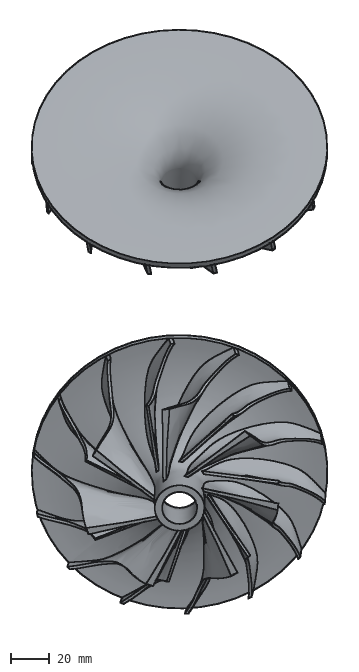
import cadquery as cq
import math

rim_radius = 76.225
bore_radius = 9.0
wall = 3.8
sleeve_flare = 0.4
total_height = 48.89
flare_crest_radius = 66.0
flare_start_height = 18.1

blade_pairs = 7
blade_tip_radius = 76.15
blade_thickness = 1.6
root_embed = 1.8
trim_allowance = 0.8
first_full_blade_angle = -103.0

inlet_radius = 51.0
rim_edge_height = 37.3
free_edge_foot_height = 19.0
full_inlet_height = 11.5

FLARE_STATIONS = [
    (0.0, -1.0, -11.5, 0.0),
    (16.0, 2.5, 0.0, 7.5),
    (34.5, 6.0, 12.0, 14.0),
    (50.0, 9.0, 38.0, 26.5),
    (65.0, 11.3, 58.0, 35.4),
    (83.4, 15.6, 75.0, 46.0),
]
INLET_STATIONS = [
    (16.0, 21.5, flare_start_height, 53.0),
    (full_inlet_height - trim_allowance, 32.4, full_inlet_height - trim_allowance, 61.0),
]

outer_span = flare_crest_radius - bore_radius - sleeve_flare
outer_rise = total_height - flare_start_height
sleeve_radius = bore_radius + wall
inner_span = flare_crest_radius - sleeve_radius - sleeve_flare
inner_rise = outer_rise - wall


def flare_point(span, rise, angle_deg):
    """Radius and height on a flare ellipse, at an angle from its crest."""
    angle = math.radians(angle_deg)
    radius = flare_crest_radius - span * math.sin(angle)
    return radius, flare_start_height + rise * math.cos(angle)


def rim_angle(span):
    """Ellipse angle from the crest out to the rim radius, as a negative number."""
    return math.degrees(math.asin((flare_crest_radius - rim_radius) / span))


def flare_edge(span, rise):
    """Flare ellipse in the XZ plane, from the rim round to where it runs vertical."""
    return cq.Edge.makeEllipse(
        span,
        rise,
        pnt=cq.Vector(flare_crest_radius, 0, flare_start_height),
        dir=cq.Vector(0, -1, 0),
        xdir=cq.Vector(1, 0, 0),
        angle1=90 + rim_angle(span),
        angle2=180,
    )


def make_hub():
    dish = flare_edge(outer_span, outer_rise)
    underside = flare_edge(inner_span, inner_rise)
    bore_foot = cq.Vector(bore_radius, 0, 0)
    sleeve_foot = cq.Vector(sleeve_radius, 0, 0)
    sides = [
        dish,
        cq.Edge.makeLine(dish.endPoint(), bore_foot),
        cq.Edge.makeLine(bore_foot, sleeve_foot),
        cq.Edge.makeLine(sleeve_foot, underside.endPoint()),
        underside,
        cq.Edge.makeLine(underside.startPoint(), dish.startPoint()),
    ]
    profile = cq.Wire.assembleEdges(sides)
    return cq.Solid.revolve(profile, [], 360, cq.Vector(0, 0, 0), cq.Vector(0, 0, 1))


def polar(radius, angle_deg, height):
    angle = math.radians(angle_deg)
    return cq.Vector(radius * math.cos(angle), radius * math.sin(angle), height)


def blade_rulings(with_inlet):
    """Mid-surface lines of a blade as (free edge point, hub point) pairs, rim at angle 0."""
    edge_span = blade_tip_radius + trim_allowance - inlet_radius
    edge_drop = rim_edge_height - free_edge_foot_height
    rulings = []
    for edge_angle, edge_wrap, root_angle, root_wrap in FLARE_STATIONS:
        angle = math.radians(edge_angle)
        edge_radius = inlet_radius + edge_span * (1 - math.sin(angle))
        edge_height = free_edge_foot_height + edge_drop * math.cos(angle)
        root_radius, root_height = flare_point(inner_span, inner_rise, root_angle)
        edge_point = polar(edge_radius, -edge_wrap, edge_height)
        rulings.append((edge_point, polar(root_radius, -root_wrap, root_height)))
    if with_inlet:
        for edge_height, edge_wrap, root_height, root_wrap in INLET_STATIONS:
            edge_point = polar(inlet_radius, -edge_wrap, edge_height)
            rulings.append((edge_point, polar(sleeve_radius, -root_wrap, root_height)))
    return rulings


def make_blade(with_inlet):
    rulings = blade_rulings(with_inlet)
    free_points = [edge for edge, root in rulings]
    root_points = [root + (root - edge).normalized() * root_embed for edge, root in rulings]
    steps = [float(i) for i in range(len(rulings))]

    def side_edge(points, side):
        """Mid-surface edge curve moved half a thickness to one side."""
        middle = cq.Edge.makeSpline(points, parameters=steps)
        moved = []
        for step, point, free, root in zip(steps, points, free_points, root_points):
            tangent = middle.tangentAt(step, mode="parameter")
            normal = tangent.cross(root - free).normalized()
            moved.append(point + normal * (side * blade_thickness / 2))
        return cq.Edge.makeSpline(moved, parameters=steps)

    free_a = side_edge(free_points, 1)
    free_b = side_edge(free_points, -1)
    root_a = side_edge(root_points, 1)
    root_b = side_edge(root_points, -1)

    def end_face(pick):
        near = cq.Edge.makeLine(pick(free_a), pick(root_a))
        far = cq.Edge.makeLine(pick(free_b), pick(root_b))
        return cq.Face.makeRuledSurface(near, far)

    loop = [free_a, root_a, root_b, free_b]
    faces = [cq.Face.makeRuledSurface(loop[i - 1], loop[i]) for i in range(len(loop))]
    faces.append(end_face(lambda edge: edge.startPoint()))
    faces.append(end_face(lambda edge: edge.endPoint()))
    solid = cq.Solid.makeSolid(cq.Shell.makeShell(faces))
    return solid.fix()


def make_impeller():
    pitch = 360 / blade_pairs
    envelope = (
        cq.Workplane("XY", origin=(0, 0, full_inlet_height))
        .circle(blade_tip_radius)
        .extrude(total_height - full_inlet_height)
    )
    full_blade = cq.Workplane(make_blade(True)).intersect(envelope)
    splitter = cq.Workplane(make_blade(False)).intersect(envelope)
    blades = []
    for index in range(blade_pairs):
        angle = first_full_blade_angle + index * pitch
        blades.append(full_blade.rotate((0, 0, 0), (0, 0, 1), angle).val())
        blades.append(splitter.rotate((0, 0, 0), (0, 0, 1), angle + pitch / 2).val())
    fused = make_hub().fuse(*blades)
    return cq.Workplane(fused.Solids()[0])


result = make_impeller()